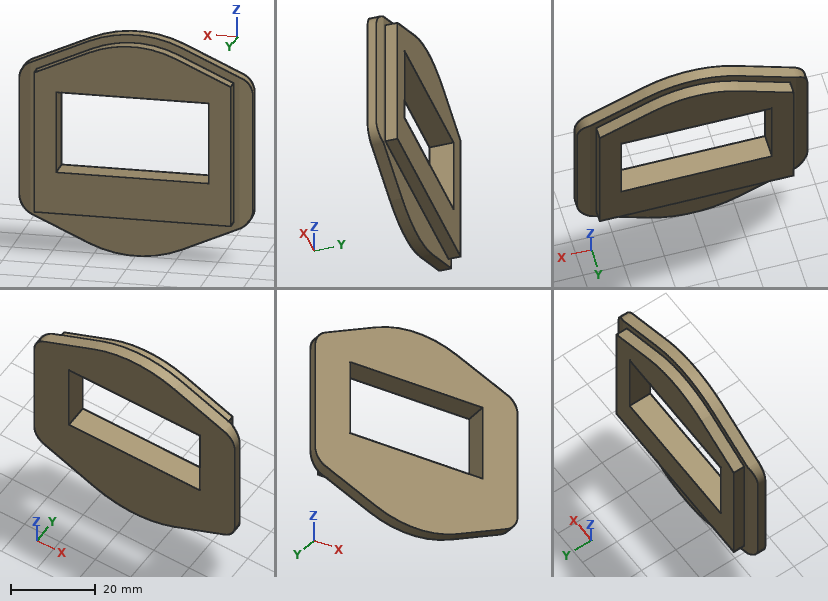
import cadquery as cq
import math

plate_width = 56.7
plate_height = 55.3
layer_thickness = 3.0
shoulder_angle = math.radians(24.2)
corner_radius = 5.0

bevel_width = 3.0
bevel_depth = 0.8

rear_inset = 2.0
rear_width = 47.7

window_width = 37.0
window_height = 20.0
window_center_z = 2.9


def shoulder_end(radius, half_width):
    """Height at which the line tangent to the crown meets the side."""
    return (radius - half_width * math.sin(shoulder_angle)) / math.cos(shoulder_angle)


def tangent_point(radius):
    """X and Z where the crown arc runs into the right shoulder."""
    return radius * math.sin(shoulder_angle), radius * math.cos(shoulder_angle)


def extrude_to_rear(outline, front_y):
    """Extrude a closed XZ outline by one layer towards +Y."""
    return outline.close().extrude(-layer_thickness).translate((0, front_y, 0))


def crowned_top(outline, radius, half_width):
    """Draw the upper edge from the right side over the crown to the left side."""
    side_z = shoulder_end(radius, half_width)
    tangent_x, tangent_z = tangent_point(radius)
    return (
        outline.lineTo(half_width, side_z)
        .lineTo(tangent_x, tangent_z)
        .threePointArc((0, radius), (-tangent_x, tangent_z))
        .lineTo(-half_width, side_z)
    )


def make_plate():
    """Front plate with a crown at both ends, rounded corners and bevelled sides."""
    radius = plate_height / 2
    half_width = plate_width / 2
    side_z = shoulder_end(radius, half_width)
    tangent_x, tangent_z = tangent_point(radius)

    outline = cq.Workplane("XZ").moveTo(half_width, -side_z)
    outline = crowned_top(outline, radius, half_width)
    outline = (
        outline.lineTo(-half_width, -side_z)
        .lineTo(-tangent_x, -tangent_z)
        .threePointArc((0, -radius), (tangent_x, -tangent_z))
    )
    plate = extrude_to_rear(outline, 0)

    corner_size = 0.55
    for x in (-half_width, half_width):
        for z in (-side_z, side_z):
            box = cq.selectors.BoxSelector(
                (x - corner_size, -corner_size, z - corner_size),
                (x + corner_size, layer_thickness + corner_size, z + corner_size),
            )
            plate = plate.edges(box).fillet(corner_radius)

    for side in (-1, 1):
        bevel = (
            cq.Workplane("XY")
            .moveTo(side * half_width, layer_thickness)
            .lineTo(side * (half_width - bevel_width), layer_thickness)
            .lineTo(side * half_width, layer_thickness - bevel_depth)
            .close()
            .extrude(plate_height / 2, both=True)
        )
        plate = plate.cut(bevel)
    return plate


def make_rear_pad():
    """Raised pad with a crowned top, square sides and a flat bottom."""
    radius = plate_height / 2 - rear_inset
    half_width = rear_width / 2
    bottom_z = -shoulder_end(radius, half_width)

    outline = cq.Workplane("XZ").moveTo(half_width, bottom_z)
    outline = crowned_top(outline, radius, half_width).lineTo(-half_width, bottom_z)
    return extrude_to_rear(outline, layer_thickness)


total_thickness = 2 * layer_thickness
window = cq.Workplane("XY").box(window_width, total_thickness, window_height)
window = window.translate((0, layer_thickness, window_center_z))

result = make_plate().union(make_rear_pad()).cut(window)